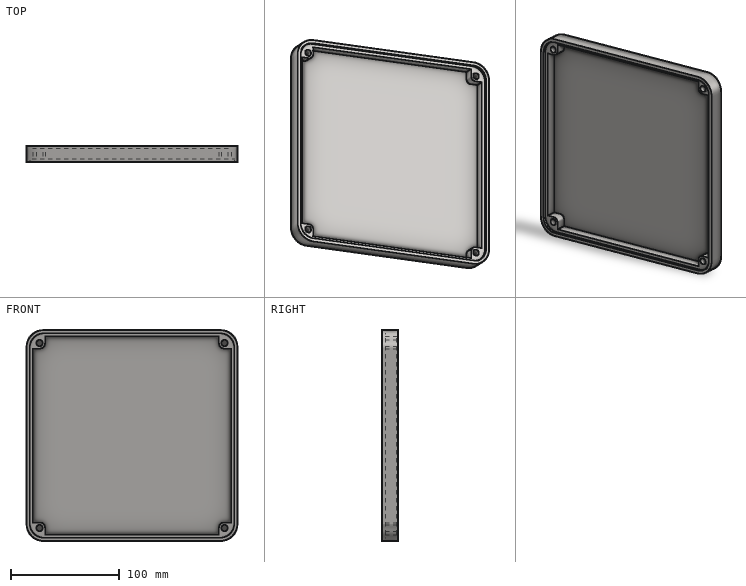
import cadquery as cq

side = 194.6
depth = 15.0
corner_radius = 16.0

rim_width = 3.1
step_depth = 3.0

wall = 6.0
floor = 2.0

hole_inset = 12.0
hole_diameter = 5.8
boss_reach = 17.1
boss_radius = 4.5


def square_block(width, front, back, radius=0):
    """Square block centred on the Y axis, from y = front to y = back."""
    block = cq.Workplane("XY").box(width, back - front, width)
    if radius:
        block = block.edges("|Y").fillet(radius)
    return block.translate((0, (front + back) / 2, 0))


def corner_boss(x_sign, z_sign, front, back):
    """Square boss in one cavity corner, rounded on its inward edge."""
    width = boss_reach - wall
    centre = side / 2 - (wall + boss_reach) / 2
    inward_edge = ("<X" if x_sign > 0 else ">X", "<Z" if z_sign > 0 else ">Z")
    boss = cq.Workplane("XY").box(width, back - front, width)
    boss = boss.faces(inward_edge[0]).edges(inward_edge[1]).fillet(boss_radius)
    return boss.translate((x_sign * centre, (front + back) / 2, z_sign * centre))


front_face = -depth / 2
back_face = depth / 2
step_face = front_face + step_depth
floor_face = back_face - floor

body = square_block(side, front_face, back_face, corner_radius)
step = square_block(side - 2 * rim_width, front_face, step_face, corner_radius - rim_width)
cavity = square_block(side - 2 * wall, step_face, floor_face)

for x_sign in (-1, 1):
    for z_sign in (-1, 1):
        cavity = cavity.cut(corner_boss(x_sign, z_sign, step_face, floor_face))

hole_offset = side / 2 - hole_inset
holes = (
    cq.Workplane("XZ", origin=(0, floor_face, 0))
    .rect(2 * hole_offset, 2 * hole_offset, forConstruction=True)
    .vertices()
    .circle(hole_diameter / 2)
    .extrude(floor_face - step_face)
)

result = body.cut(step).cut(cavity).cut(holes)